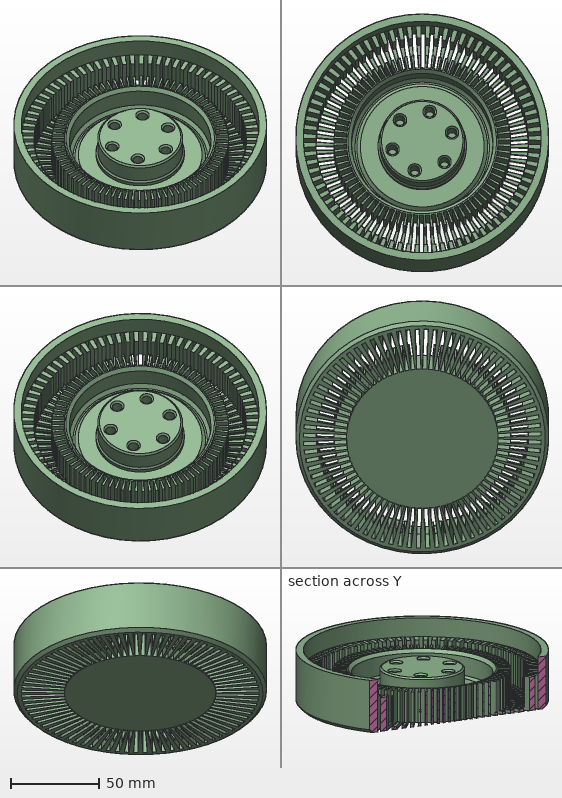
import cadquery as cq

outer_radius = 71.5
height = 31.0
bottom_chamfer = 2.0

rim_inner_radius = 67.2
web_top = 20.0

channel_inner_radius = 50.0
channel_outer_radius = 60.0
channel_floor = 2.0

slot_count = 80
slot_width = 2.4
slot_inner_radius = 42.8
slot_outer_radius = rim_inner_radius

lip_radius = 42.0
recess_radius = 40.0
lip_depth = lip_radius - recess_radius
recess_floor = 7.0
groove_floor = 5.0
groove_outer_radius = 38.0
groove_outer_chamfer = recess_radius - groove_outer_radius
groove_inner_radius = 37.0
floor_radius = 35.0

boss_radius = 24.0
boss_top = 21.0
boss_chamfer = 1.0
foot_radius = 25.0
foot_top = 10.0
foot_shoulder_height = foot_radius - boss_radius

hole_count = 6
hole_circle_radius = 17.5
hole_diameter = 5.6
hole_mouth_diameter = 7.6
hole_depth = 12.0


def make_body():
    """Revolve the half section of the wheel about the Z axis."""
    half_section = [
        (0, 0),
        (outer_radius - bottom_chamfer, 0),
        (outer_radius, bottom_chamfer),
        (outer_radius, height),
        (rim_inner_radius, height),
        (rim_inner_radius, web_top),
        (channel_outer_radius, web_top),
        (channel_outer_radius, channel_floor),
        (channel_inner_radius, channel_floor),
        (channel_inner_radius, web_top),
        (lip_radius, web_top),
        (recess_radius, web_top - lip_depth),
        (recess_radius, groove_floor + groove_outer_chamfer),
        (groove_outer_radius, groove_floor),
        (groove_inner_radius, groove_floor),
        (floor_radius, recess_floor),
        (foot_radius, recess_floor),
        (foot_radius, foot_top - foot_shoulder_height),
        (boss_radius, foot_top),
        (boss_radius, boss_top - boss_chamfer),
        (boss_radius - boss_chamfer, boss_top),
        (0, boss_top),
    ]
    return cq.Workplane("XZ").polyline(half_section).close().revolve(360, (0, 0), (0, 1))


def make_slots():
    """Radial slot cutters that run through the full depth of the web."""
    slot_length = slot_outer_radius - slot_inner_radius
    slot_middle_radius = (slot_outer_radius + slot_inner_radius) / 2
    return (
        cq.Workplane("XY")
        .polarArray(slot_middle_radius, 0, 360, slot_count)
        .rect(slot_length, slot_width)
        .extrude(web_top)
    )


def make_holes():
    """Blind hole cutters with a 45 degree countersunk mouth."""
    hole_radius = hole_diameter / 2
    mouth_radius = hole_mouth_diameter / 2
    mouth_depth = mouth_radius - hole_radius
    half_section = [
        (0, boss_top - hole_depth),
        (hole_radius, boss_top - hole_depth),
        (hole_radius, boss_top - mouth_depth),
        (mouth_radius, boss_top),
        (0, boss_top),
    ]
    cutter = cq.Workplane("XZ").polyline(half_section).close().revolve(360, (0, 0), (0, 1)).val()
    return (
        cq.Workplane("XY")
        .polarArray(hole_circle_radius, 0, 360, hole_count)
        .eachpoint(lambda location: cutter.moved(location))
    )


result = make_body().cut(make_slots()).cut(make_holes())